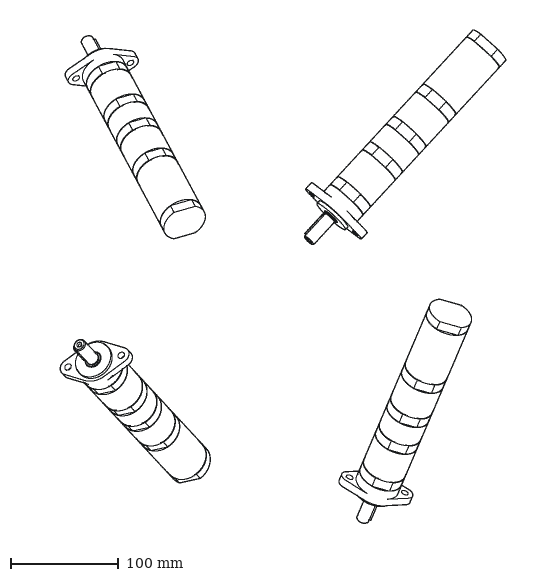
import cadquery as cq
import math

total_length = 249.2
collar_start = 29.5
collar_step = 30.5
pilot_start = 31.2
flange_start = 34.5
flange_thickness = 8.0

body_diameter = 41.5
body_radius = body_diameter / 2
pilot_diameter = 36.0
shaft_diameter = 11.7
shaft_chamfer = 1.0

collar_tip_diameter = 12.0
collar_shoulder_diameter = 15.0
collar_base_diameter = 16.0

centre_hole_diameter = 3.2
centre_hole_depth = 5.0
countersink_diameter = 5.0
countersink_angle = 60.0

key_start = 2.7
key_end = 28.0
key_width = 4.0
key_top = 7.2

flange_width = 70.0
ear_radius = 8.0
ear_offset = flange_width / 2 - ear_radius
mounting_hole_diameter = 6.5

flat_starts = (52.0, 96.5, 128.8, 170.0)
flat_length = 10.5
flat_height = 19.0
end_flat_length = 9.2
end_flat_height = 18.0

joint_bevel = 0.37


def cylinder(start, end, diameter):
    """Round bar about the X axis between two X positions."""
    return cq.Workplane("YZ").workplane(offset=start).circle(diameter / 2).extrude(end - start)


def make_shaft():
    shaft = cylinder(0, pilot_start, shaft_diameter).faces("<X").chamfer(shaft_chamfer)
    collar_tip = cylinder(collar_start, collar_step, collar_tip_diameter)
    collar_bevel = (collar_base_diameter - collar_shoulder_diameter) / 2
    collar_base = cylinder(collar_step, pilot_start, collar_base_diameter)
    collar_base = collar_base.faces("<X").chamfer(collar_bevel)
    return shaft.union(collar_tip).union(collar_base)


def make_key():
    """Key reaching from the shaft axis out to its top face."""
    key_middle = (key_start + key_end) / 2
    key_length = key_end - key_start
    return cq.Workplane("XZ").center(key_middle, 0).slot2D(key_length, key_width).extrude(-key_top)


def make_centre_hole():
    """Blind hole with a conical mouth, to be cut from the shaft tip."""
    mouth_radius = countersink_diameter / 2
    hole_radius = centre_hole_diameter / 2
    cone_depth = (mouth_radius - hole_radius) / math.tan(math.radians(countersink_angle / 2))
    profile = [
        (0, 0),
        (0, mouth_radius),
        (cone_depth, hole_radius),
        (centre_hole_depth, hole_radius),
        (centre_hole_depth, 0),
    ]
    return cq.Workplane("XY").polyline(profile).close().revolve(360, (0, 0, 0), (1, 0, 0))


def make_flange():
    tangent_sin = (body_radius - ear_radius) / ear_offset
    tangent_cos = math.sqrt(1 - tangent_sin**2)
    body_y = body_radius * tangent_sin
    body_z = body_radius * tangent_cos
    ear_y = ear_offset + ear_radius * tangent_sin
    ear_z = ear_radius * tangent_cos
    ear_tip = ear_offset + ear_radius
    return (
        cq.Workplane("YZ")
        .workplane(offset=flange_start)
        .moveTo(-body_y, body_z)
        .threePointArc((0, body_radius), (body_y, body_z))
        .lineTo(ear_y, ear_z)
        .threePointArc((ear_tip, 0), (ear_y, -ear_z))
        .lineTo(body_y, -body_z)
        .threePointArc((0, -body_radius), (-body_y, -body_z))
        .lineTo(-ear_y, -ear_z)
        .threePointArc((-ear_tip, 0), (-ear_y, ear_z))
        .close()
        .pushPoints([(-ear_offset, 0), (ear_offset, 0)])
        .circle(mounting_hole_diameter / 2)
        .extrude(flange_thickness)
    )


def make_flat_section(start, length, height, bevelled_faces):
    """Body section with bevelled rims and flats at +Z and -Z."""
    section = cylinder(start, start + length, body_diameter)
    section = section.faces(bevelled_faces).chamfer(joint_bevel)
    slab = cq.Workplane("XY").box(length, body_diameter, 2 * height)
    return section.intersect(slab.translate((start + length / 2, 0, 0)))


def make_body():
    """Plain sections alternating with flat sections, ending in a flat section."""
    end_flat_start = total_length - end_flat_length
    body = make_flat_section(end_flat_start, end_flat_length, end_flat_height, "<X")
    plain_start = flange_start
    for flat_start in flat_starts:
        body = body.union(cylinder(plain_start, flat_start, body_diameter))
        body = body.union(make_flat_section(flat_start, flat_length, flat_height, "<X or >X"))
        plain_start = flat_start + flat_length
    return body.union(cylinder(plain_start, end_flat_start, body_diameter))


pilot = cylinder(pilot_start, flange_start, pilot_diameter)

result = (
    make_body()
    .union(make_flange())
    .union(pilot)
    .union(make_shaft())
    .union(make_key())
    .cut(make_centre_hole())
)